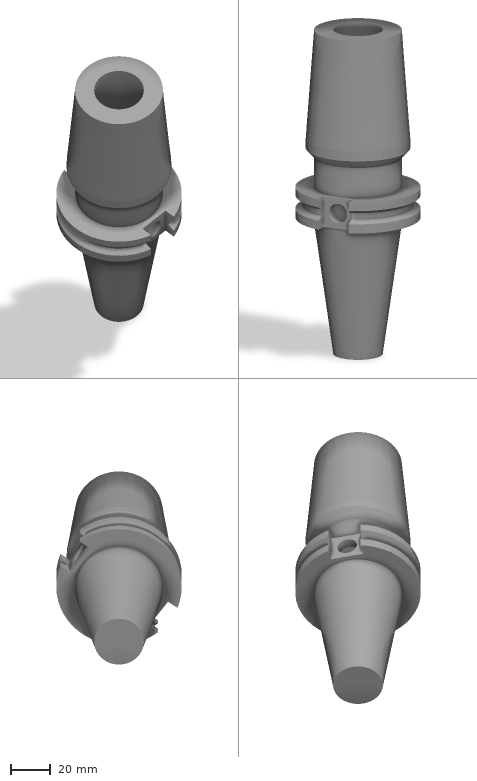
import cadquery as cq

total_height = 169.8
taper_top = 68.5
flange_bottom = 71.5
groove_lower_rim = 76.3
groove_floor_bottom = 77.8
groove_floor_top = 81.2
groove_upper_rim = 83.2
flange_top = 87.5
neck_top = 103.3
collar_bottom = 107.9
collar_top = 113.0

taper_end_radius = 12.5
neck_radius = 22.3
collar_radius = 26.5
flange_radius = 31.8
groove_radius = 28.2

bore_radius = 12.5
bore_depth = 51.0

slot_width = 16.6
slot_floor_x = 24.8
slot_hole_radius = 5.1
slot_hole_depth = 5.1


def turned_body():
    """Solid of revolution: taper, grooved flange, neck and nose."""
    profile = [
        (0, 0),
        (taper_end_radius, 0),
        (neck_radius, taper_top),
        (neck_radius, flange_bottom),
        (flange_radius, flange_bottom),
        (flange_radius, groove_lower_rim),
        (groove_radius, groove_floor_bottom),
        (groove_radius, groove_floor_top),
        (flange_radius, groove_upper_rim),
        (flange_radius, flange_top),
        (neck_radius, flange_top),
        (neck_radius, neck_top),
        (collar_radius, collar_bottom),
        (collar_radius, collar_top),
        (neck_radius, total_height),
        (0, total_height),
    ]
    return cq.Workplane("XZ").polyline(profile).close().revolve(360, (0, 0), (0, 1))


def tool_bore():
    """Blind cylindrical bore opening at the top face."""
    return (
        cq.Workplane("XY")
        .workplane(offset=total_height - bore_depth)
        .circle(bore_radius)
        .extrude(bore_depth)
    )


def drive_slot(side):
    """Slot through the flange height, with a round blind hole in its floor; side is -1 or 1."""
    flange_height = flange_top - flange_bottom
    flange_middle = (flange_top + flange_bottom) / 2
    slot_depth = flange_radius - slot_floor_x
    slot = cq.Workplane("XY").box(slot_depth, slot_width, flange_height)
    slot = slot.translate((side * (slot_floor_x + slot_depth / 2), 0, flange_middle))
    hole = (
        cq.Workplane("YZ", origin=(side * slot_floor_x, 0, flange_middle))
        .circle(slot_hole_radius)
        .extrude(-side * slot_hole_depth)
    )
    return slot.union(hole)


result = turned_body().cut(tool_bore())
for side in (-1, 1):
    result = result.cut(drive_slot(side))